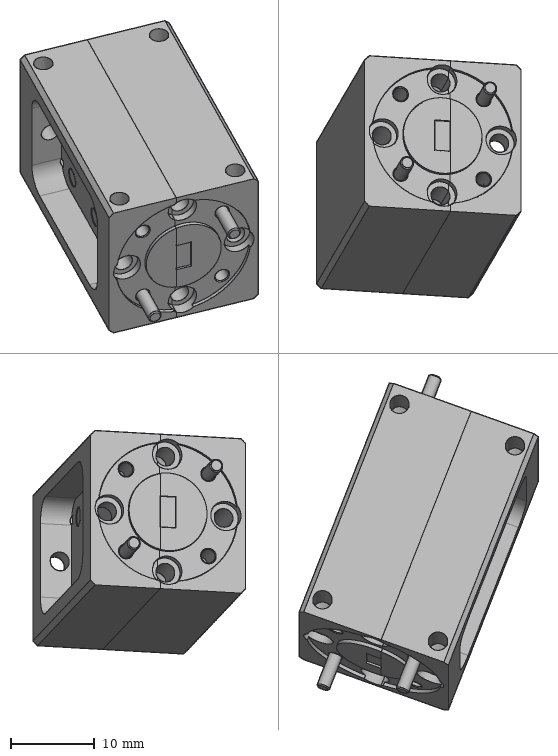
import cadquery as cq
import math


TOTAL_LENGTH = 38.23
BLOCK_LENGTH = 30.6
BLOCK_SIDE = 19.05
EDGE_CHAMFER = 0.57
END_X = BLOCK_LENGTH / 2
HALF_SIDE = BLOCK_SIDE / 2

PORT_HEIGHT = 3.82
PORT_WIDTH = PORT_HEIGHT / 2
PORT_DEPTH = 0.25
SPLIT_Y = -PORT_WIDTH / 2

RING_OUTER_RADIUS = 8.55
RING_INNER_RADIUS = 4.78
RING_DEPTH = 0.45

BOLT_CIRCLE_RADIUS = 7.15
DIAGONAL = BOLT_CIRCLE_RADIUS / math.sqrt(2)
SCREW_RADIUS = 1.15
COUNTERBORE_RADIUS = 1.8
COUNTERBORE_DEPTH = 1.45
BLIND_SCREW_DEPTH = 6.1

PIN_RADIUS = 0.8
PIN_TIP_CHAMFER = 0.15
PIN_PROJECTION = (TOTAL_LENGTH - BLOCK_LENGTH) / 2
PIN_EMBEDDED = PIN_PROJECTION
CLEARANCE_RADIUS = 0.85
DIAGONAL_HOLE_DEPTH = 4.6
HOLE_CHAMFER = 0.1

TOP_HOLE_RADIUS = SCREW_RADIUS
TOP_HOLE_X = 13.07
TOP_HOLE_Y = 7.38
TOP_HOLE_DEPTH = 4.6

POCKET_LENGTH = 22.48
POCKET_HEIGHT = 14.4
POCKET_DEPTH = 3.8
POCKET_CORNER_RADIUS = 2.68
POCKET_FLOOR_Y = POCKET_DEPTH - HALF_SIDE
RECESS_RADIUS = 1.15
RECESS_DEPTH = 0.1
RECESS_PITCH_X = 7.65
RECESS_Z = 4.7

DRILL_POINT_ANGLE = 118.0
OPPOSITE_SIGNS = (-1, 1)


def cylinder(radius, length, start, direction):
    solid = cq.Solid.makeCylinder(radius, length, cq.Vector(*start), cq.Vector(*direction))
    return cq.Workplane(obj=solid)


def cone(base_radius, tip_radius, length, start, direction):
    solid = cq.Solid.makeCone(base_radius, tip_radius, length, cq.Vector(*start), cq.Vector(*direction))
    return cq.Workplane(obj=solid)


def drilled_hole(radius, depth, start, direction):
    """Cutter for a blind hole with a conical drill point beyond its full-diameter depth."""
    tip_length = radius / math.tan(math.radians(DRILL_POINT_ANGLE / 2))
    bottom = cq.Vector(*start) + cq.Vector(*direction) * depth
    point = cone(radius, 0, tip_length, bottom.toTuple(), direction)
    return cylinder(radius, depth, start, direction).union(point)


def pin_places(end):
    """(y, z) of the two pins on one end; the opposite diagonal is left for the mating pins."""
    return [(DIAGONAL * side, DIAGONAL * side * end) for side in OPPOSITE_SIGNS]


def clearance_places(end):
    """(y, z) of the two clearance holes, on the diagonal without pins."""
    return pin_places(-end)


def ring_recess(end):
    start = (end * END_X, 0, 0)
    inward = (-end, 0, 0)
    outer = cylinder(RING_OUTER_RADIUS, RING_DEPTH, start, inward)
    return outer.cut(cylinder(RING_INNER_RADIUS, RING_DEPTH, start, inward))


def waveguide_port(end):
    port = cq.Workplane().box(2 * PORT_DEPTH, PORT_WIDTH, PORT_HEIGHT)
    return port.translate((end * END_X, 0, 0))


def counterbores(end):
    places = [(side * BOLT_CIRCLE_RADIUS, 0) for side in OPPOSITE_SIGNS]
    places += [(0, side * BOLT_CIRCLE_RADIUS) for side in OPPOSITE_SIGNS]
    return [
        cylinder(COUNTERBORE_RADIUS, COUNTERBORE_DEPTH, (end * END_X, y, z), (-end, 0, 0))
        for y, z in places
    ]


def blind_screw_holes(end):
    centres = [(end * END_X, 0, side * BOLT_CIRCLE_RADIUS) for side in OPPOSITE_SIGNS]
    return [drilled_hole(SCREW_RADIUS, BLIND_SCREW_DEPTH, centre, (-end, 0, 0)) for centre in centres]


def mouth_chamfer(end, radius, y, z):
    """Countersink where a diagonal hole opens on the floor of the ring recess."""
    start = (end * (END_X - RING_DEPTH), y, z)
    return cone(radius + HOLE_CHAMFER, radius, HOLE_CHAMFER, start, (-end, 0, 0))


def diagonal_holes(end):
    inward = (-end, 0, 0)
    cutters = []
    for y, z in pin_places(end):
        cutters.append(cylinder(PIN_RADIUS, DIAGONAL_HOLE_DEPTH, (end * END_X, y, z), inward))
        cutters.append(mouth_chamfer(end, PIN_RADIUS, y, z))
    for y, z in clearance_places(end):
        cutters.append(drilled_hole(CLEARANCE_RADIUS, DIAGONAL_HOLE_DEPTH, (end * END_X, y, z), inward))
        cutters.append(mouth_chamfer(end, CLEARANCE_RADIUS, y, z))
    return cutters


def through_screw_holes():
    return [
        cylinder(SCREW_RADIUS, BLOCK_LENGTH, (-END_X, side * BOLT_CIRCLE_RADIUS, 0), (1, 0, 0))
        for side in OPPOSITE_SIGNS
    ]


def top_holes():
    centres = [
        (x_sign * TOP_HOLE_X, y_sign * TOP_HOLE_Y, HALF_SIDE)
        for x_sign in OPPOSITE_SIGNS
        for y_sign in OPPOSITE_SIGNS
    ]
    return [drilled_hole(TOP_HOLE_RADIUS, TOP_HOLE_DEPTH, centre, (0, 0, -1)) for centre in centres]


def side_pocket():
    pocket = cq.Workplane().box(POCKET_LENGTH, POCKET_DEPTH, POCKET_HEIGHT)
    pocket = pocket.edges("|Y").fillet(POCKET_CORNER_RADIUS)
    return pocket.translate((0, POCKET_FLOOR_Y - POCKET_DEPTH / 2, 0))


def pocket_floor_recesses():
    centres = [
        (column * RECESS_PITCH_X, POCKET_FLOOR_Y, row * RECESS_Z)
        for column in (-1, 0, 1)
        for row in OPPOSITE_SIGNS
    ]
    return [cylinder(RECESS_RADIUS, RECESS_DEPTH, centre, (0, 1, 0)) for centre in centres]


def machined_block():
    """The complete block with every cut, before it is parted on the split plane."""
    block = cq.Workplane().box(BLOCK_LENGTH, BLOCK_SIDE, BLOCK_SIDE)
    block = block.edges("|X").chamfer(EDGE_CHAMFER)
    cutters = [side_pocket(), *pocket_floor_recesses(), *top_holes(), *through_screw_holes()]
    for end in OPPOSITE_SIGNS:
        cutters += [ring_recess(end), waveguide_port(end)]
        cutters += counterbores(end) + blind_screw_holes(end) + diagonal_holes(end)
    for cutter in cutters:
        block = block.cut(cutter)
    return block


def half_space(y_low, y_high):
    """Box as long and high as the block, between two y planes."""
    box = cq.Workplane().box(BLOCK_LENGTH, y_high - y_low, BLOCK_SIDE)
    return box.translate((0, (y_low + y_high) / 2, 0))


def alignment_pin(end, y, z):
    inner_end = (end * (END_X - PIN_EMBEDDED), y, z)
    pin = cylinder(PIN_RADIUS, PIN_EMBEDDED + PIN_PROJECTION, inner_end, (end, 0, 0))
    return pin.faces(">X" if end > 0 else "<X").chamfer(PIN_TIP_CHAMFER)


whole_block = machined_block()
front_half = whole_block.intersect(half_space(-HALF_SIDE, SPLIT_Y))
rear_half = whole_block.intersect(half_space(SPLIT_Y, HALF_SIDE))
pins = [alignment_pin(end, y, z) for end in OPPOSITE_SIGNS for y, z in pin_places(end)]

result = cq.Compound.makeCompound([front_half.val(), rear_half.val(), *(pin.val() for pin in pins)])